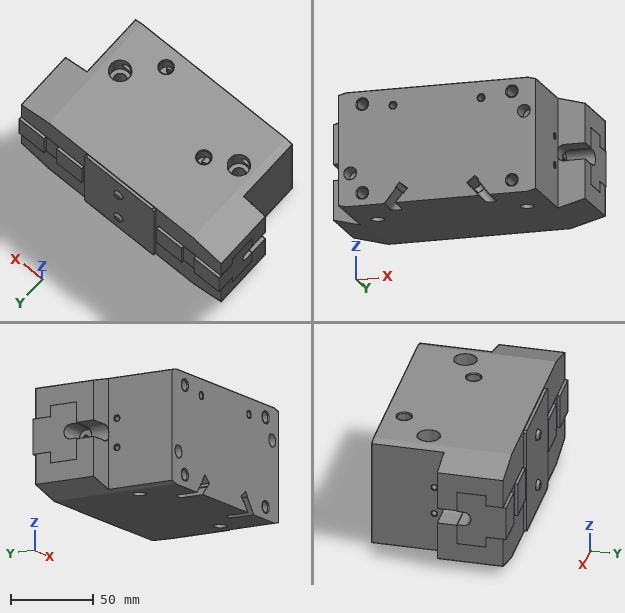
import cadquery as cq
import math

LENGTH = 160.0
HEIGHT = 72.0
COVER_Y = 86.2
SHOULDER_Y = 45.1
FRONT_HALF_LENGTH = 62.7
TAPER_START_X = 57.8
TAPER_ANGLE = 15.0
OVERCUT = 1.6

JAW_FACE_Y = 88.2
JAW_LENGTH = 50.0
JAW_STEM_WIDTH = 22.0
JAW_FOOT_WIDTH = 35.8
JAW_FOOT_TOP_Y = 75.7
JAW_FOOT_BOTTOM_Y = 57.5
KEYWAY_START = 20.0
KEYWAY_WIDTH = 10.0
JAW_TAP_DIAMETER = 2.4
JAW_TAP_MOUTH = 3.0
JAW_TAP_DEPTH = 6.4

RELIEF_HOUSING_WIDTH = 10.2
RELIEF_JAW_WIDTH = 9.3
RELIEF_CENTRE_Y = 61.5
RELIEF_INNER_X = 62.0

PLATE_HALF_LENGTH = 27.8
PLATE_HALF_HEIGHT = 35.2
PLATE_CORNER_X = 1.6
PLATE_CORNER_Z = 1.1
SCREW_Z = 17.6
SCREW_DIAMETER = 7.0
SCREW_TOP_Y = 90.2
SCREW_TOP_DIAMETER = 4.5

FIXING_X = 47.5
FIXING_Y = 32.0
FIXING_DIAMETER = 8.5
COUNTERBORE_DIAMETER = 14.0
COUNTERBORE_DEPTH = 14.0

TAP_Z = 28.0
TAP_DIAMETER = 6.7
TAP_MOUTH = 8.0
TAP_DEPTH = 16.0
DOWEL_X = 55.2
DOWEL_Z = 15.0
DOWEL_DIAMETER = 8.0
DOWEL_DEPTH = 12.0

PORT_X = 28.0
PORT_LEFT_Y = 42.0
PORT_RIGHT_Y = 12.0
TOP_PORT_DIAMETER = 8.6
TOP_PORT_MOUTH = 10.0
TOP_PORT_DEPTH = 10.2
FRONT_PORT_Z = 25.6
FRONT_PORT_DIAMETER = 4.2
FRONT_PORT_MOUTH = 5.0
FRONT_PORT_LEFT_DEPTH = 41.8
FRONT_PORT_RIGHT_DEPTH = 9.3
FEED_DIAMETER = 3.0
FEED_DEPTH = 6.4

SIDE_TAP_Y = 39.0
SIDE_TAP_Z = 9.1
SIDE_TAP_DIAMETER = 3.2
SIDE_TAP_MOUTH = 4.2
SIDE_TAP_DEPTH = 8.0

SENSOR_END_X = 21.5
SENSOR_END_Z = -25.3
SENSOR_ANGLE = 51.5
SENSOR_WIDTH = 5.5
SENSOR_HEAD_WIDTH = 6.4
SENSOR_HEAD_LENGTH = 3.7
SENSOR_DEPTH = 16.0
SENSOR_LENGTH = 22.4

DRILL_POINT_ANGLE = 118.0

half_length = LENGTH / 2
half_height = HEIGHT / 2


def box(x_range, y_range, z_range):
    """Box between the given limits."""
    (x0, x1), (y0, y1), (z0, z1) = x_range, y_range, z_range
    return cq.Workplane("XY").box(x1 - x0, y1 - y0, z1 - z0, centered=False).translate((x0, y0, z0))


def drill(point, direction, diameter, depth, mouth=0.0, pointed=True):
    """Cutter for a hole from a surface point, with an optional 45 degree mouth and a drill point."""
    radius = diameter / 2
    countersink = max(mouth / 2 - radius, 0.0)
    outline = [(0, 0), (radius + countersink, 0)]
    if countersink > 0:
        outline.append((radius, countersink))
    outline.append((radius, depth))
    tip = radius / math.tan(math.radians(DRILL_POINT_ANGLE / 2)) if pointed else 0.0
    outline.append((0, depth + tip))
    along = cq.Vector(*direction)
    across = cq.Vector(0, 0, 1) if abs(along.z) < 0.5 else cq.Vector(1, 0, 0)
    plane = cq.Plane(origin=point, xDir=across, normal=across.cross(along))
    return cq.Workplane(plane).polyline(outline).close().revolve(360, (0, 0, 0), (0, 1, 0))


def u_slot_along_x(x_range, width):
    """Slot along X, open towards -Y at the shoulder and round at its +Y end."""
    x0, x1 = x_range
    radius = width / 2
    return (
        cq.Workplane("YZ", origin=(x0, 0, 0))
        .moveTo(SHOULDER_Y, -radius)
        .lineTo(RELIEF_CENTRE_Y, -radius)
        .threePointArc((RELIEF_CENTRE_Y + radius, 0), (RELIEF_CENTRE_Y, radius))
        .lineTo(SHOULDER_Y, radius)
        .close()
        .extrude(x1 - x0)
    )


def housing_relief():
    """Relief slot at the -X end: round along both its +Y end and its inner end."""
    radius = RELIEF_HOUSING_WIDTH / 2
    outer_x = -half_length - OVERCUT
    centre_x = -RELIEF_INNER_X - radius
    plan = (
        cq.Workplane("XZ", origin=(0, SHOULDER_Y, 0))
        .moveTo(outer_x, -radius)
        .lineTo(centre_x, -radius)
        .threePointArc((-RELIEF_INNER_X, 0), (centre_x, radius))
        .lineTo(outer_x, radius)
        .close()
        .extrude(SHOULDER_Y - COVER_Y)
    )
    return plan.intersect(u_slot_along_x((outer_x, -RELIEF_INNER_X), RELIEF_HOUSING_WIDTH))


def jaw_blank():
    """T-shaped slide at the -X end, before its slots and holes."""
    x_range = (-half_length, -half_length + JAW_LENGTH)
    foot = box(x_range, (JAW_FOOT_BOTTOM_Y, JAW_FOOT_TOP_Y), (-JAW_FOOT_WIDTH / 2, JAW_FOOT_WIDTH / 2))
    stem = box(x_range, (JAW_FOOT_TOP_Y, JAW_FACE_Y), (-JAW_STEM_WIDTH / 2, JAW_STEM_WIDTH / 2))
    return foot.union(stem)


def make_jaw(mirrored):
    """Jaw with a keyway across its face, a relief slot and a tapped hole in the slot floor."""
    keyway_x = -half_length + KEYWAY_START
    keyway = box(
        (keyway_x, keyway_x + KEYWAY_WIDTH), (COVER_Y, JAW_FACE_Y + OVERCUT), (-half_height, half_height)
    )
    relief = u_slot_along_x((-half_length - OVERCUT, -RELIEF_INNER_X), RELIEF_JAW_WIDTH)
    tap = drill(
        (-RELIEF_INNER_X, RELIEF_CENTRE_Y, 0), (1, 0, 0), JAW_TAP_DIAMETER, JAW_TAP_DEPTH, JAW_TAP_MOUTH
    )
    jaw = jaw_blank().cut(keyway).cut(relief).cut(tap)
    return jaw.mirror("YZ") if mirrored else jaw


def housing_blank():
    """Block with sloping ends above and below and a narrower front part."""
    end_half_height = half_height - (half_length - TAPER_START_X) * math.tan(math.radians(TAPER_ANGLE))
    outline = [
        (-half_length, -end_half_height),
        (-TAPER_START_X, -half_height),
        (TAPER_START_X, -half_height),
        (half_length, -end_half_height),
        (half_length, end_half_height),
        (TAPER_START_X, half_height),
        (-TAPER_START_X, half_height),
        (-half_length, end_half_height),
    ]
    block = cq.Workplane("XZ").polyline(outline).close().extrude(-COVER_Y)
    step = box((-half_length, -FRONT_HALF_LENGTH), (0, SHOULDER_Y), (-half_height, half_height))
    return block.cut(step).cut(step.mirror("YZ"))


def screw_head():
    """Rounded screw head standing on Y = 0, with its side square to that plane and a flat top."""
    base_radius = SCREW_DIAMETER / 2
    top_radius = SCREW_TOP_DIAMETER / 2
    height = SCREW_TOP_Y - JAW_FACE_Y
    inset = base_radius - top_radius
    arc_radius = (inset**2 + height**2) / (2 * inset)
    half_sweep = math.asin(height / arc_radius) / 2
    arc_middle = (
        base_radius - arc_radius * (1 - math.cos(half_sweep)),
        arc_radius * math.sin(half_sweep),
    )
    return (
        cq.Workplane("XY")
        .lineTo(base_radius, 0)
        .threePointArc(arc_middle, (top_radius, height))
        .lineTo(0, height)
        .close()
        .revolve(360, (0, 0, 0), (0, 1, 0))
    )


def middle_plate():
    """Plate between the jaws with bevelled corners, and the two screw heads on it."""
    inner_x = PLATE_HALF_LENGTH - PLATE_CORNER_X
    inner_z = PLATE_HALF_HEIGHT - PLATE_CORNER_Z
    outline = [
        (-PLATE_HALF_LENGTH, -inner_z),
        (-inner_x, -PLATE_HALF_HEIGHT),
        (inner_x, -PLATE_HALF_HEIGHT),
        (PLATE_HALF_LENGTH, -inner_z),
        (PLATE_HALF_LENGTH, inner_z),
        (inner_x, PLATE_HALF_HEIGHT),
        (-inner_x, PLATE_HALF_HEIGHT),
        (-PLATE_HALF_LENGTH, inner_z),
    ]
    plate = (
        cq.Workplane("XZ", origin=(0, COVER_Y, 0)).polyline(outline).close().extrude(COVER_Y - JAW_FACE_Y)
    )
    for z in (-SCREW_Z, SCREW_Z):
        plate = plate.union(screw_head().translate((0, JAW_FACE_Y, z)))
    return plate


def fixing_holes():
    """Counterbored through holes along Z."""
    cutters = []
    for x in (-FIXING_X, FIXING_X):
        top = (x, FIXING_Y, half_height)
        cutters.append(drill(top, (0, 0, -1), FIXING_DIAMETER, HEIGHT + OVERCUT, pointed=False))
        cutters.append(drill(top, (0, 0, -1), COUNTERBORE_DIAMETER, COUNTERBORE_DEPTH, pointed=False))
    return cutters


def mounting_holes():
    """Tapped holes at the corners of the mounting face and two dowel holes."""
    inward = (0, 1, 0)
    cutters = []
    for x in (-FIXING_X, FIXING_X):
        cutters.append(drill((x, 0, TAP_Z), inward, TAP_DIAMETER, FIXING_Y, TAP_MOUTH, pointed=False))
        cutters.append(drill((x, 0, -TAP_Z), inward, TAP_DIAMETER, TAP_DEPTH, TAP_MOUTH, pointed=x < 0))
    for side in (-1, 1):
        cutters.append(drill((side * DOWEL_X, 0, side * DOWEL_Z), inward, DOWEL_DIAMETER, DOWEL_DEPTH))
    return cutters


def air_port(x, y, front_depth):
    """Port in the top, the front port that runs into it and a small feed hole in its floor."""
    top = (x, y, half_height)
    floor = (x, front_depth, half_height - TOP_PORT_DEPTH)
    front = (x, 0, FRONT_PORT_Z)
    return [
        drill(top, (0, 0, -1), TOP_PORT_DIAMETER, TOP_PORT_DEPTH, TOP_PORT_MOUTH, pointed=False),
        drill(front, (0, 1, 0), FRONT_PORT_DIAMETER, front_depth, FRONT_PORT_MOUTH, pointed=False),
        drill(floor, (0, 0, -1), FEED_DIAMETER, FEED_DEPTH),
    ]


def side_taps():
    """Tapped holes in both sides of the narrow front part."""
    cutters = []
    for side in (-1, 1):
        for z in (-SIDE_TAP_Z, SIDE_TAP_Z):
            mouth_centre = (side * FRONT_HALF_LENGTH, SIDE_TAP_Y, z)
            cutters.append(
                drill(mouth_centre, (-side, 0, 0), SIDE_TAP_DIAMETER, SIDE_TAP_DEPTH, SIDE_TAP_MOUTH)
            )
    return cutters


def sensor_groove(side):
    """Slanted groove with a round floor and a wider head at its closed end."""
    angle = math.radians(SENSOR_ANGLE)
    along = cq.Vector(side * math.cos(angle), 0, -math.sin(angle))
    across = cq.Vector(0, 1, 0).cross(along)
    plane = cq.Plane(origin=(side * SENSOR_END_X, 0, SENSOR_END_Z), xDir=across, normal=along)
    sections = []
    for width, length in ((SENSOR_WIDTH, SENSOR_LENGTH), (SENSOR_HEAD_WIDTH, SENSOR_HEAD_LENGTH)):
        radius = width / 2
        wall = SENSOR_DEPTH - radius
        sections.append(
            cq.Workplane(plane)
            .moveTo(-radius, -OVERCUT)
            .lineTo(-radius, wall)
            .threePointArc((0, SENSOR_DEPTH), (radius, wall))
            .lineTo(radius, -OVERCUT)
            .close()
            .extrude(length)
        )
    return sections


def make_housing():
    """Housing with its middle plate, holes, grooves and a fitting T-shaped pocket for each jaw."""
    cutters = fixing_holes() + mounting_holes() + side_taps()
    cutters += air_port(-PORT_X, PORT_LEFT_Y, FRONT_PORT_LEFT_DEPTH)
    cutters += air_port(PORT_X, PORT_RIGHT_Y, FRONT_PORT_RIGHT_DEPTH)
    for side in (-1, 1):
        cutters += sensor_groove(side)
    for end_cut in (jaw_blank(), housing_relief()):
        cutters += [end_cut, end_cut.mirror("YZ")]
    housing = housing_blank().union(middle_plate())
    for cutter in cutters:
        housing = housing.cut(cutter)
    return housing


housing = make_housing()
jaws = [make_jaw(mirrored) for mirrored in (False, True)]

result = cq.Compound.makeCompound([housing.val(), *[jaw.val() for jaw in jaws]])